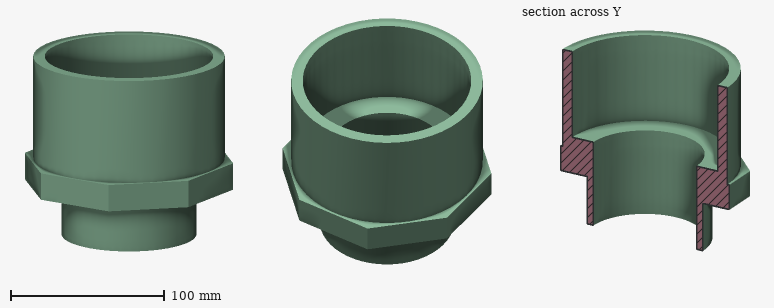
import cadquery as cq
import math

across_flats = 128.0
collar_height = 17.8

spigot_diameter = 88.0
spigot_length = 33.5
bore_diameter = 78.0

socket_outer_diameter = 125.0
socket_inner_diameter = 110.0
socket_depth = 60.8

total_height = 120.0
collar_top = spigot_length + collar_height
socket_length = total_height - collar_top


def cylinder(diameter, base, height):
    """Upright cylinder on the Z axis, starting at the given height."""
    return cq.Workplane("XY").workplane(offset=base).circle(diameter / 2).extrude(height)


def octagonal_collar():
    """Octagonal prism turned half a side so that its flats face the axes."""
    sides = 8
    half_side_angle = 180 / sides
    across_corners = across_flats / math.cos(math.radians(half_side_angle))
    prism = cq.Workplane("XY").polygon(sides, across_corners).extrude(collar_height)
    turned = prism.rotate((0, 0, 0), (0, 0, 1), half_side_angle)
    return turned.translate((0, 0, spigot_length))


spigot = cylinder(spigot_diameter, 0, spigot_length)
socket = cylinder(socket_outer_diameter, collar_top, socket_length)
body = spigot.union(octagonal_collar()).union(socket)

bore = cylinder(bore_diameter, 0, total_height)
socket_recess = cylinder(socket_inner_diameter, total_height - socket_depth, socket_depth)

result = body.cut(bore).cut(socket_recess)